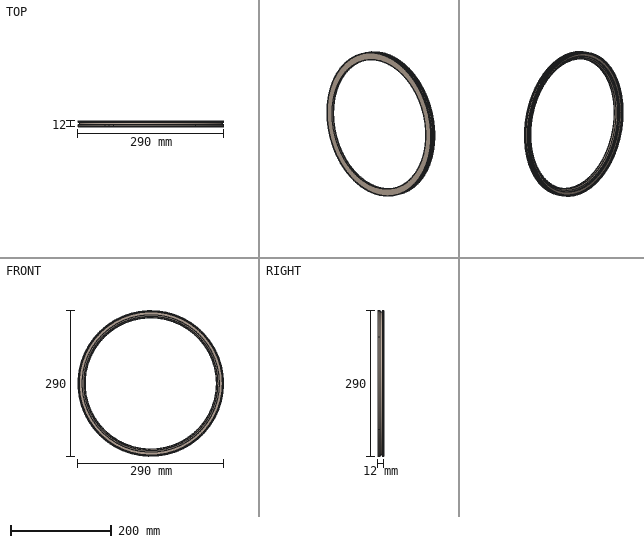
import cadquery as cq

outer_radius = 290 / 2
face_outer_radius = 285.0 / 2
face_inner_radius = 273.5 / 2
bore_mouth_radius = 267.0 / 2
bore_radius = 261.3 / 2

half_width = 12.0 / 2
face_front = -half_width + 2.3
land_front = face_front + 3.0
bore_taper_length = 1.7
bore_front = land_front + bore_taper_length

groove_front = -1.5
groove_back = 3.2
groove_edge_radius = 143.3
groove_bottom_radius = 142.5

edge_chamfer = 0.44
rim_chamfer_radius = outer_radius - edge_chamfer


def rim_flange(low_side, high_side):
    """Points of one rim flange with both outer corners chamfered, from -Y to +Y."""
    return [
        (rim_chamfer_radius, low_side),
        (outer_radius, low_side + edge_chamfer),
        (outer_radius, high_side - edge_chamfer),
        (rim_chamfer_radius, high_side),
    ]


front_side = [
    (bore_radius, bore_front),
    (bore_mouth_radius, land_front),
    (face_inner_radius, land_front),
    (face_inner_radius, face_front),
    (face_outer_radius, face_front),
    (face_outer_radius, -half_width),
]
front_points = front_side + rim_flange(-half_width, groove_front)
back_points = rim_flange(groove_back, half_width) + [(bore_radius, half_width)]
groove_middle = (groove_front + groove_back) / 2

section = (
    cq.Workplane("XY")
    .polyline(front_points)
    .lineTo(groove_edge_radius, groove_front)
    .threePointArc(
        (groove_bottom_radius, groove_middle),
        (groove_edge_radius, groove_back),
    )
)
for point in back_points:
    section = section.lineTo(*point)

result = section.close().revolve(360, (0, 0, 0), (0, 1, 0))